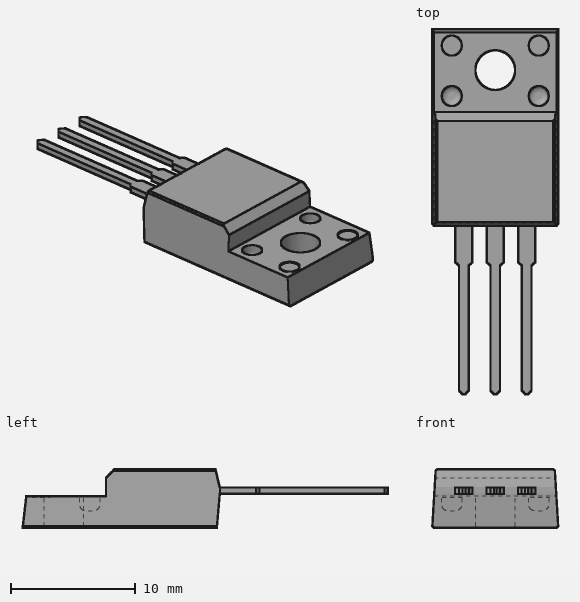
import cadquery as cq


body_width = 10.13
body_length = 15.85
body_height = 4.73
tab_length = 6.7
tab_height = 2.55
block_chamfer = 0.7
edge_chamfer = 0.15
side_draft = 0.25
back_draft = 0.3
front_draft = 0.23
front_top_draft = 0.35

lead_count = 3
lead_pitch = 2.53
lead_length = 13.5
lead_thickness = 0.53
lead_bottom = 2.73
lead_top = lead_bottom + lead_thickness
lead_root = 0.6
shoulder_length = 2.9
shoulder_width = 1.38
shank_width = 0.8
shoulder_taper = 0.25
tip_width = 0.23
tip_length = 0.3

mounting_hole_diameter = 3.17
mounting_hole_y = body_length - 3.32
mark_diameter = 1.62
mark_spacing = 7.0
shallow_mark_y = body_length - 1.35
shallow_mark_depth = 0.1
dimple_y = body_length - 5.4
dimple_depth = 1.17
dimple_radius = 0.5


def make_body():
    """Stepped side outline, trimmed to the drafted cross-section."""
    step_y = body_length - tab_length
    side_outline = (
        cq.Workplane("YZ")
        .moveTo(front_draft, 0)
        .lineTo(body_length, 0)
        .lineTo(body_length - back_draft, tab_height)
        .lineTo(step_y, tab_height)
        .lineTo(step_y, body_height - block_chamfer)
        .lineTo(step_y - block_chamfer, body_height)
        .lineTo(front_top_draft, body_height)
        .lineTo(0, lead_top)
        .lineTo(0, lead_bottom)
        .close()
        .extrude(body_width / 2, both=True)
    )
    bottom_half = body_width / 2
    top_half = bottom_half - side_draft
    right_side = [
        (bottom_half - edge_chamfer, 0),
        (bottom_half, edge_chamfer),
        (top_half, body_height - edge_chamfer),
        (top_half - edge_chamfer, body_height),
    ]
    left_side = [(-x, z) for x, z in reversed(right_side)]
    cross_section = (
        cq.Workplane("XZ")
        .polyline(right_side + left_side)
        .close()
        .extrude(-body_length)
    )
    return side_outline.intersect(cross_section)


def make_lead(center_x):
    """Flat lead with a wide shoulder, a narrow shank and a pointed tip."""
    right_edge = [
        (shoulder_width / 2, lead_root),
        (shoulder_width / 2, -shoulder_length),
        (shank_width / 2, -shoulder_length - shoulder_taper),
        (shank_width / 2, tip_length - lead_length),
        (tip_width / 2, -lead_length),
    ]
    left_edge = [(-x, y) for x, y in reversed(right_edge)]
    return (
        cq.Workplane("XY", origin=(center_x, 0, lead_bottom))
        .polyline(right_edge + left_edge)
        .close()
        .extrude(lead_thickness)
    )


def make_mounting_hole():
    return (
        cq.Workplane("XY")
        .center(0, mounting_hole_y)
        .circle(mounting_hole_diameter / 2)
        .extrude(tab_height)
    )


def make_mark_pair(y, depth):
    """Two round cutters that reach down from the tab surface."""
    return (
        cq.Workplane("XY", origin=(0, 0, tab_height))
        .pushPoints([(-mark_spacing / 2, y), (mark_spacing / 2, y)])
        .circle(mark_diameter / 2)
        .extrude(-depth)
    )


def make_dimple_pair():
    """Blind holes with a generous rounding around the flat floor."""
    return make_mark_pair(dimple_y, dimple_depth).faces("<Z").edges().fillet(dimple_radius)


result = make_body()

for index in range(lead_count):
    offset = index - (lead_count - 1) / 2
    result = result.union(make_lead(offset * lead_pitch))

result = result.cut(make_mounting_hole())
result = result.cut(make_mark_pair(shallow_mark_y, shallow_mark_depth))
result = result.cut(make_dimple_pair())